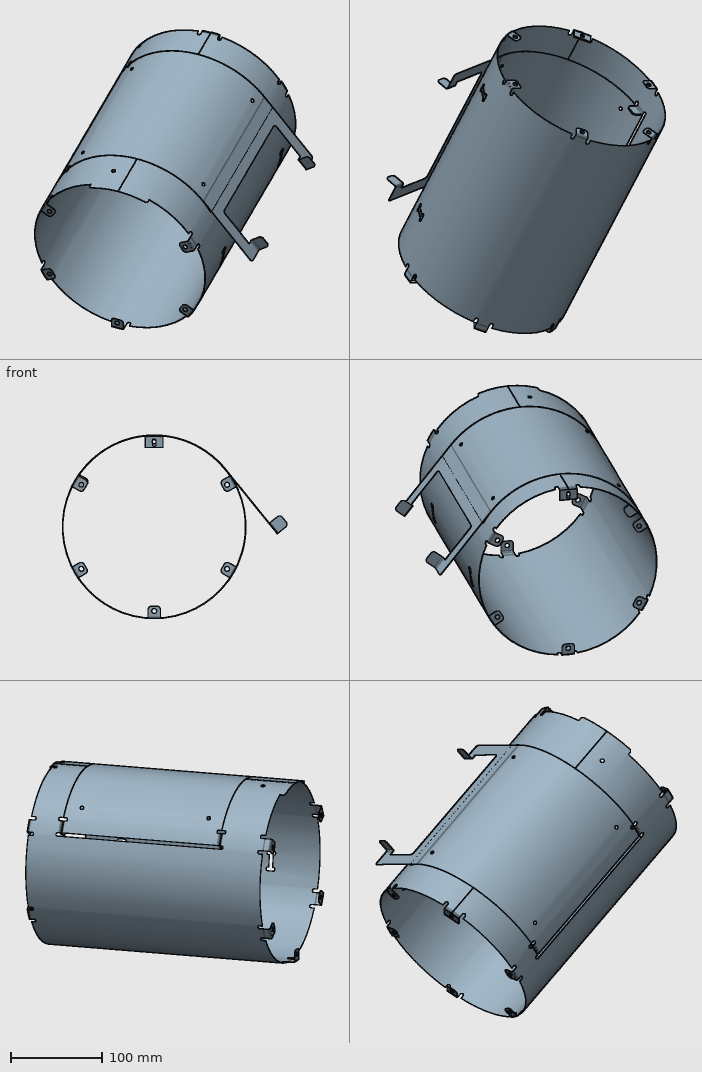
import cadquery as cq
import math

outer_radius = 100.78
sheet = 0.8
bend_radius = 1.8
seam_gap = 0.3
overrun = 2.8
long_reach = 567.0

tube_back = 138.3
tube_front = -133.5
lip_width = 68.5
lip_end = -139.5
lip_corner = 2.8
rim_hole_diameter = 4.3
rim_hole_angle = 100.0
rim_hole_y = -108.3

tab_width = 14.0
tab_depth = 14.0
tab_corner = 4.0
tab_hole_diameter = 5.0
tab_hole_radius = outer_radius - 8.5
tab_sweep = 30.0
front_tab_tip = -141.8
back_tab_tip = 140.75
tab_angles = [30, 150, 210, 270, 330]

seam_angle = 90.0
seam_tab_width = 19.8
seam_tab_tip = 141.8
seam_slot_length = 8.2
seam_slot_width = 4.0
seam_hole_diameter = 4.3
seam_hole_radius = tab_hole_radius + 1.0

relief_width = 4.0
relief_depth = 5.7
relief_length = 10.2

door_middle = 9.78
door_width = 183.7
door_gap = 0.3
door_back = door_middle + door_width / 2
door_front = door_middle - door_width / 2
hook_angle = 149.0
hook_root = 2.8
relief_step = math.degrees((tab_width + relief_width) / 2 / outer_radius)
hinge_angle = hook_angle + relief_step
upper_relief_angle = hook_angle - relief_step
arm_angle = 39.0
opening_angle = 30.0
door_hole_diameter = 4.0
door_hole_angles = [45, 135]
door_hole_offset = 73.57

arm_length = 91.0
arm_web = 28.4
arm_width = 15.0
arm_corner = 2.8
window_corner = 3.5
grip_width = 14.7
grip_depth = 16.0
grip_face = 70.0

catch_angle = -8.5
catch_offset = 86.8
catch_slot_width = 4.5


def at_angle(shape, angle):
    """Turn a shape built at +X about the tube axis to an elevation angle."""
    return shape.rotate((0, 0, 0), (0, 1, 0), -angle)


def shell(start_y, end_y, start_angle, end_angle, margin=0):
    """Cylindrical sheet between two Y positions and two angles, thickened by a margin for cutting."""
    thickness = sheet + 2 * margin
    profile = cq.Workplane("XY").center(outer_radius - sheet / 2, (start_y + end_y) / 2)
    profile = profile.rect(thickness, end_y - start_y)
    axis_x = sheet / 2 - outer_radius
    sector = profile.revolve(end_angle - start_angle, (axis_x, 0, 0), (axis_x, 1, 0))
    return at_angle(sector, end_angle)


def radial_cutter(outline, angle):
    """Push an outline drawn on the YZ plane through the sheet at an angle."""
    return at_angle(outline.extrude(2 * overrun), angle)


def wall_plane():
    return cq.Workplane("YZ", origin=(outer_radius - overrun, 0, 0))


def round_hole(angle, y, diameter):
    return radial_cutter(wall_plane().center(y, 0).circle(diameter / 2), angle)


def slot_along_y(angle, y, length):
    return radial_cutter(wall_plane().center(y, 0).slot2D(length, relief_width), angle)


def bent_profile(plane, surface, root, tip, depth):
    """L-shaped section of a sheet that bends 90 degrees away from its outer surface."""
    out = math.copysign(1, tip - root)
    inner_bend = bend_radius - sheet
    centre_x = surface - bend_radius
    centre_y = tip - out * bend_radius
    diagonal = math.sqrt(0.5)
    return (
        plane.moveTo(surface, root)
        .lineTo(surface, centre_y)
        .threePointArc(
            (centre_x + bend_radius * diagonal, centre_y + out * bend_radius * diagonal),
            (centre_x, tip),
        )
        .lineTo(surface - depth, tip)
        .lineTo(surface - depth, tip - out * sheet)
        .lineTo(centre_x, tip - out * sheet)
        .threePointArc(
            (centre_x + inner_bend * diagonal, centre_y + out * inner_bend * diagonal),
            (surface - sheet, centre_y),
        )
        .lineTo(surface - sheet, root)
        .close()
    )


def inward_tab(root, tip, width, corner):
    """Tab at +X that leaves the tube wall along Y and bends in towards the axis."""
    ring = bent_profile(cq.Workplane("XY"), outer_radius, root, tip, tab_depth)
    ring = at_angle(ring.revolve(tab_sweep, (0, 0, 0), (0, 1, 0)), tab_sweep / 2)
    reach = tab_depth + overrun
    outline = cq.Workplane("XY").box(reach, long_reach, width)
    outline = outline.translate((outer_radius - tab_depth + reach / 2, 0, 0))
    if corner:
        outline = outline.edges("|Y and <X").fillet(corner)
    return ring.intersect(outline)


def axial_cutter(outline):
    return outline.extrude(long_reach / 2, both=True)


def rim_tab(root, tip, angle):
    tab = inward_tab(root, tip, tab_width, tab_corner)
    hole = cq.Workplane("XZ").center(tab_hole_radius, 0).circle(tab_hole_diameter / 2)
    return at_angle(tab.cut(axial_cutter(hole)), angle)


def seam_tab(tip, hole_outline, side):
    """One of two lapped tabs; its neck stands on one side of the seam only."""
    tab = inward_tab(tube_back, tip, seam_tab_width, 0)
    other_neck = cq.Workplane("XY").box(2 * bend_radius, long_reach, seam_tab_width)
    other_neck = other_neck.translate((outer_radius, 0, -side * (seam_tab_width - seam_gap) / 2))
    return at_angle(tab.cut(other_neck).cut(axial_cutter(hole_outline)), seam_angle)


def tab_reliefs(rim, width, angle):
    """Two round-ended notches in a rim, one on each side of a tab."""
    full_length = 2 * relief_depth
    outline = wall_plane().pushPoints(
        [(rim, side * (width + relief_width) / 2) for side in (-1, 1)]
    )
    return radial_cutter(outline.slot2D(full_length, relief_width), angle)


def hook(face_y, side):
    """Bent hook along a door edge; the sheet lies on the given side of its face."""
    root = face_y + side * hook_root
    return at_angle(inward_tab(root, face_y, tab_width, tab_corner), hook_angle)


def hook_clearance(edge_y):
    """Strip cleared between the relief slots where the sheet bends inward."""
    strip = wall_plane().center(edge_y, 0)
    strip = strip.rect(2 * hook_root + door_gap, tab_width + relief_width / 2)
    return radial_cutter(strip, hook_angle)


def catch_slot(y):
    """I-shaped opening: a slot around the wall between two slots along Y."""
    bar = wall_plane().center(y, 0).rect(catch_slot_width, tab_width + relief_width)
    cutter = radial_cutter(bar, catch_angle)
    for turn in (-relief_step, relief_step):
        cutter = cutter.union(slot_along_y(catch_angle + turn, y, relief_length))
    return cutter


def hinge_reliefs():
    """Slot under the door and the short slots at the upper end of its hooks."""
    cutters = slot_along_y(hinge_angle, door_middle, door_width + relief_length)
    for edge in (door_front, door_back):
        cutters = cutters.union(slot_along_y(upper_relief_angle, edge, relief_length))
    return cutters


def front_trim():
    """Material in front of the rim, apart from the lip at the top."""
    lip = cq.Workplane("XY").rect(lip_width, -2 * lip_end).extrude(long_reach)
    lip = lip.edges("|Z and <Y").fillet(lip_corner)
    waste = cq.Workplane("XZ", origin=(0, tube_front, 0)).rect(long_reach, long_reach)
    return waste.extrude(long_reach).cut(lip)


def make_tube():
    half_seam = math.degrees(seam_gap / 2 / outer_radius)
    tube = shell(lip_end, tube_back, seam_angle + half_seam, seam_angle + 360 - half_seam)
    tube = tube.cut(front_trim())

    edge_gap = door_gap / 2
    opening = shell(door_front - edge_gap, door_back + edge_gap, opening_angle, hinge_angle, overrun)
    tube = tube.cut(opening)

    tube = tube.cut(hinge_reliefs())
    for edge, side in ((door_front, -1), (door_back, 1)):
        tube = tube.cut(hook_clearance(edge))
        tube = tube.union(hook(edge + side * door_gap / 2, side))

    for side in (-1, 1):
        tube = tube.cut(catch_slot(door_middle + side * catch_offset))
    tube = tube.cut(round_hole(rim_hole_angle, rim_hole_y, rim_hole_diameter))

    tabs = []
    for rim, tip in ((tube_front, front_tab_tip), (tube_back, back_tab_tip)):
        for angle in tab_angles:
            tube = tube.cut(tab_reliefs(rim, tab_width, angle))
            tabs.append(rim_tab(rim, tip, angle).val())
    tube = tube.cut(tab_reliefs(tube_back, seam_tab_width, seam_angle))
    slot = cq.Workplane("XZ").center(tab_hole_radius, 0).slot2D(seam_slot_length, seam_slot_width)
    hole = cq.Workplane("XZ").center(seam_hole_radius, 0).circle(seam_hole_diameter / 2)
    tabs.append(seam_tab(back_tab_tip, slot, 1).val())
    tabs.append(seam_tab(seam_tab_tip, hole, -1).val())
    return cq.Workplane(tube.val().fuse(*tabs).clean())


def make_arms():
    """Flat end of the door, hanging down from +X: a web and two arms around an open window."""
    plane = cq.Workplane("YZ", origin=(outer_radius - sheet, door_middle, 0))
    blade = plane.center(0, -arm_length / 2).rect(door_width, arm_length).extrude(sheet)
    blade = blade.edges("|X and <Z").fillet(arm_corner)
    window_length = arm_length - arm_web
    window = plane.center(0, -arm_web - window_length / 2)
    window = window.rect(door_width - 2 * arm_width, window_length).extrude(sheet)
    window = window.edges("|X and >Z").fillet(window_corner)
    return blade.cut(window)


def grip(side):
    """Grip at the end of one arm; it bends away from the tube, so its section is mirrored."""
    root = door_middle + side * (door_width / 2 - arm_width)
    tip = door_middle + side * grip_face
    section = bent_profile(cq.Workplane("XY"), 0, root, tip, grip_depth)
    body = section.extrude(grip_width).mirror("YZ")
    body = body.translate((outer_radius - sheet, 0, -arm_length))
    return body.edges("|Y and >X").fillet(tab_corner)


def make_door():
    door = shell(door_front, door_back, arm_angle, hinge_angle)
    door = door.cut(hinge_reliefs())
    for edge, side in ((door_front, 1), (door_back, -1)):
        door = door.cut(hook_clearance(edge))
        door = door.union(hook(edge + side * door_gap / 2, side))
    for angle in door_hole_angles:
        for side in (-1, 1):
            door = door.cut(round_hole(angle, door_middle + side * door_hole_offset, door_hole_diameter))
    arms = make_arms().union(grip(-1)).union(grip(1))
    return door.union(at_angle(arms, arm_angle))


tube = make_tube()
door = make_door()
result = cq.Compound.makeCompound([tube.val(), door.val()])